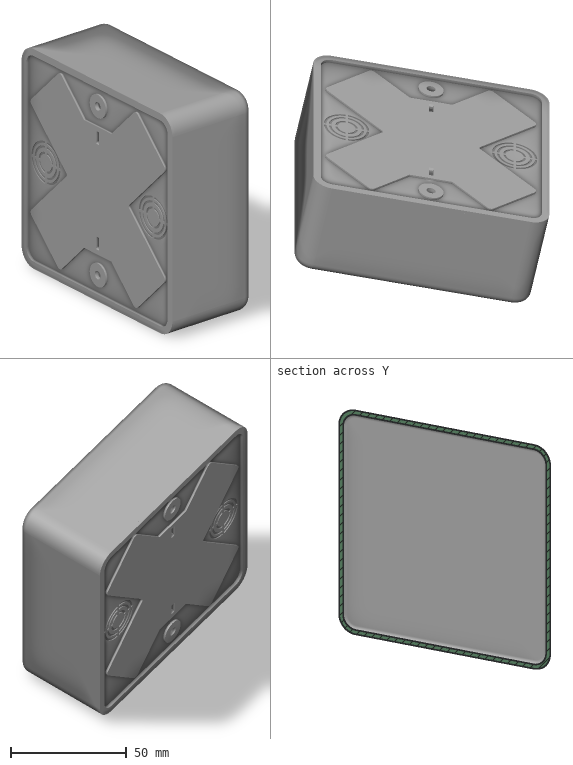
import cadquery as cq
import math

SIDE = 104.0
DEPTH = 44.2
CORNER_RADIUS = 8.3

COVER_EDGE_RADIUS = 4.0
COVER_WALL = 2.1

FLANGE_THICKNESS = 1.2
RIM_WIDTH = 3.3
RECESS_DEPTH = 1.5
FLOOR_THICKNESS = 0.8
FLOOR_BACK = RECESS_DEPTH + FLOOR_THICKNESS

RAISED_HEIGHT = 1.0
RAISED_FACE = RECESS_DEPTH - RAISED_HEIGHT
ARM_HALF_WIDTH = 14.8
ARM_REACH = 51.8
WEB_HALF_HEIGHT = 30.3
ARM_TIP_RADIUS = 2.0
NOTCH_RADIUS = 1.0

SCREW_OFFSET = 39.9
BOSS_RADIUS = 5.5
SCREW_HOLE_RADIUS = 2.0

SLOT_OFFSET = 25.0
SLOT_WIDTH = 2.1
SLOT_LENGTH = 5.8
SLOT_END_SLOPE = 0.8

KNOCKOUT_OFFSET = 37.0
GROOVE_OUTER_RADII = (5.0, 7.8, 10.0)
GROOVE_WIDTH = 1.0
GROOVE_DEPTH = 0.5
BRIDGE_WIDTH = 1.0


def face_plane(y, x=0.0, z=0.0):
    """Workplane parallel to the mounting face; negative extrusions run towards +Y."""
    return cq.Workplane(cq.Plane(origin=(x, y, z), xDir=(1, 0, 0), normal=(0, -1, 0)))


def rounded_block(inset, y_start, y_end):
    """Square block with rounded corners, inset from the outer sides of the box."""
    side = SIDE - 2 * inset
    block = face_plane(y_start).rect(side, side).extrude(-(y_end - y_start))
    return block.edges("|Y").fillet(CORNER_RADIUS - inset)


def make_cover():
    """Hollow cup that opens onto the base flange."""
    outer = rounded_block(0, FLANGE_THICKNESS, DEPTH)
    outer = outer.faces(">Y").edges().fillet(COVER_EDGE_RADIUS)
    cavity = rounded_block(COVER_WALL, FLANGE_THICKNESS, DEPTH - COVER_WALL)
    cavity = cavity.faces(">Y").edges().fillet(COVER_EDGE_RADIUS - COVER_WALL)
    return outer.cut(cavity)


def fillet_edges_at(body, points, radius):
    """Round the edges of the body that lie nearest to the given points."""
    edges = [body.edges(cq.selectors.NearestToPointSelector(point)).val() for point in points]
    return body.newObject([body.val().fillet(radius, edges)])


def make_cross():
    """Diagonal cross, filled between its upper arms and between its lower arms."""
    notch = ARM_HALF_WIDTH * math.sqrt(2)
    tip_far = (ARM_REACH + ARM_HALF_WIDTH) / math.sqrt(2)
    tip_near = (ARM_REACH - ARM_HALF_WIDTH) / math.sqrt(2)
    web_half_width = WEB_HALF_HEIGHT - notch
    height = FLOOR_BACK - RAISED_FACE

    upper_right = [(tip_far, tip_near), (tip_near, tip_far), (web_half_width, WEB_HALF_HEIGHT)]
    upper_left = [(-x, z) for x, z in reversed(upper_right)]
    upper = [(notch, 0)] + upper_right + upper_left
    lower = [(-x, -z) for x, z in upper]
    cross = face_plane(RAISED_FACE).polyline(upper + lower).close().extrude(-height)

    middle = RAISED_FACE + height / 2
    tips = [
        (side_x * x, middle, side_z * z)
        for side_x in (-1, 1)
        for side_z in (-1, 1)
        for x, z in ((tip_far, tip_near), (tip_near, tip_far))
    ]
    notches = [(-notch, middle, 0), (notch, middle, 0)]
    cross = fillet_edges_at(cross, tips, ARM_TIP_RADIUS)
    return fillet_edges_at(cross, notches, NOTCH_RADIUS)


def make_screw_boss(z):
    """Round pad that stands on the recessed floor, level with the cross."""
    return face_plane(RAISED_FACE, z=z).circle(BOSS_RADIUS).extrude(-RAISED_HEIGHT)


def make_screw_hole(z):
    """Cutter that passes through the boss and the floor."""
    return face_plane(RAISED_FACE, z=z).circle(SCREW_HOLE_RADIUS).extrude(RAISED_FACE - FLOOR_BACK)


def make_slot(z):
    """Through slot whose two ends slope inwards at 45 degrees from the face."""
    bottom = SLOT_LENGTH / 2 - SLOT_END_SLOPE
    profile = [
        (RAISED_FACE, SLOT_LENGTH / 2),
        (RAISED_FACE + SLOT_END_SLOPE, bottom),
        (FLOOR_BACK, bottom),
        (FLOOR_BACK, -bottom),
        (RAISED_FACE + SLOT_END_SLOPE, -bottom),
        (RAISED_FACE, -SLOT_LENGTH / 2),
    ]
    slot = cq.Workplane("YZ").polyline(profile).close().extrude(SLOT_WIDTH / 2, both=True)
    return slot.translate((0, 0, z))


def make_groove(x, radius):
    """Cutter for one ring of groove, left uncut along a cross of bridges."""
    plane = face_plane(RECESS_DEPTH, x=x)
    span = 2 * radius + BRIDGE_WIDTH
    groove = plane.circle(radius).circle(radius - GROOVE_WIDTH).extrude(-GROOVE_DEPTH)
    groove = groove.cut(plane.rect(span, BRIDGE_WIDTH).extrude(-GROOVE_DEPTH))
    return groove.cut(plane.rect(BRIDGE_WIDTH, span).extrude(-GROOVE_DEPTH))


def make_base():
    """Flange and recessed tray that carry the cross, bosses, slots and knockouts."""
    base = rounded_block(0, 0, FLANGE_THICKNESS)
    base = base.union(rounded_block(COVER_WALL, 0, FLOOR_BACK))
    base = base.cut(rounded_block(RIM_WIDTH, 0, RECESS_DEPTH))
    base = base.union(make_cross())
    for side in (-1, 1):
        base = base.union(make_screw_boss(side * SCREW_OFFSET))
        base = base.cut(make_screw_hole(side * SCREW_OFFSET))
        base = base.cut(make_slot(side * SLOT_OFFSET))
        for radius in GROOVE_OUTER_RADII:
            base = base.cut(make_groove(side * KNOCKOUT_OFFSET, radius))
    return base


cover = make_cover()
base = make_base()
result = cq.Compound.makeCompound([cover.val(), base.val()])